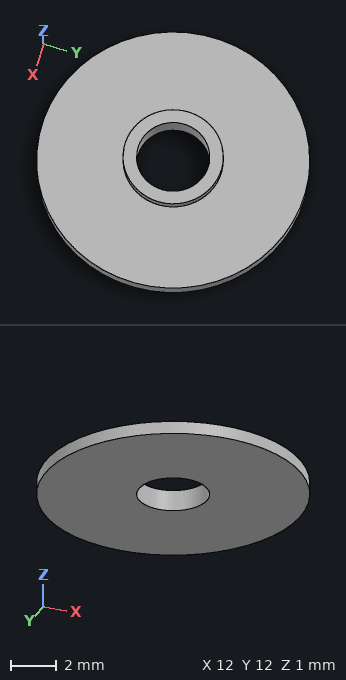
import cadquery as cq

flange_diameter = 12.0
flange_thickness = 0.6
hub_diameter = 4.4
bore_diameter = 3.2
total_height = 1.0

flange = cq.Workplane("XY").circle(flange_diameter / 2).extrude(flange_thickness)

hub = cq.Workplane("XY").circle(hub_diameter / 2).extrude(total_height)

bore = cq.Workplane("XY").circle(bore_diameter / 2).extrude(total_height)

result = flange.union(hub).cut(bore)